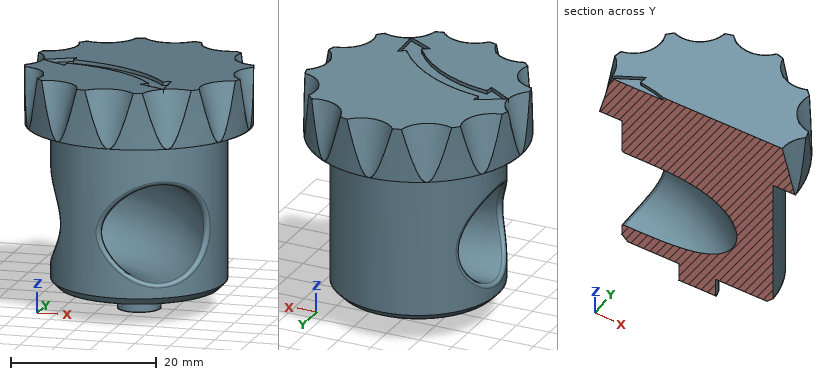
import cadquery as cq
import math

total_height = 34.2
knob_height = 8.0
pin_length = 3.2
knob_bottom = total_height - knob_height

knob_radius = 31.5 / 2
body_radius = 24.35 / 2
pin_radius = 6.0 / 2
body_chamfer = 1.0

flute_count = 12
flute_depth = 2.05
flute_top_radius = 4.45
flute_bottom_radius = flute_top_radius - flute_depth
flute_axis_radius = knob_radius + flute_bottom_radius

opening_angles = (180.0, 300.0)
passage_diameter = 14.0
passage_drop_below_knob = 13.0
passage_height = knob_bottom - passage_drop_below_knob
passage_rim_fillet = 0.5
bisector_angle = sum(opening_angles) / 2
half_spread = math.radians(opening_angles[1] - opening_angles[0]) / 2
bend_radius = body_radius * math.tan(half_spread)
bend_center_distance = body_radius / math.cos(half_spread)

arrow_depth = 0.5
arrow_band_half_width = 1.05
arrow_head_half_width = 2.25
arrow_tip_angle = 34.2
arrow_neck_angle = 23.5


def polar(radius, angle):
    """Point at a radius and an angle in degrees."""
    return (radius * math.cos(math.radians(angle)), radius * math.sin(math.radians(angle)))


def make_turned_blank():
    body_length = knob_bottom - pin_length
    pin = cq.Workplane("XY").circle(pin_radius).extrude(pin_length)
    body = (
        cq.Workplane("XY").workplane(offset=pin_length).circle(body_radius).extrude(body_length)
        .faces("<Z").chamfer(body_chamfer)
    )
    knob = cq.Workplane("XY").workplane(offset=knob_bottom).circle(knob_radius).extrude(knob_height)
    return body.union(pin).union(knob)


def cut_passage(part):
    x, y = polar(bend_center_distance, bisector_angle)
    bend = cq.Solid.makeTorus(
        bend_radius, passage_diameter / 2, cq.Vector(x, y, passage_height), cq.Vector(0, 0, 1)
    )
    part = part.cut(cq.Workplane(obj=bend))
    return part.edges("%BSPLINE").fillet(passage_rim_fillet)


def cut_flutes(part):
    for index in range(flute_count):
        x, y = polar(flute_axis_radius, index * 360 / flute_count)
        flute = cq.Solid.makeCone(
            flute_bottom_radius, flute_top_radius, knob_height, cq.Vector(x, y, knob_bottom)
        )
        part = part.cut(cq.Workplane(obj=flute))
    return part


def cut_arrow(part):
    center_x, center_y = polar(bend_center_distance, bisector_angle)
    middle_angle = bisector_angle - 180

    def at(side_offset, angle):
        x, y = polar(bend_radius + side_offset, middle_angle + angle)
        return (center_x + x, center_y + y)

    band = arrow_band_half_width
    head = arrow_head_half_width
    neck = arrow_neck_angle
    arrow = (
        cq.Workplane("XY").workplane(offset=total_height - arrow_depth)
        .moveTo(*at(band, -neck))
        .threePointArc(at(band, 0), at(band, neck))
        .lineTo(*at(head, neck))
        .lineTo(*at(0, arrow_tip_angle))
        .lineTo(*at(-head, neck))
        .lineTo(*at(-band, neck))
        .threePointArc(at(-band, 0), at(-band, -neck))
        .lineTo(*at(-head, -neck))
        .lineTo(*at(0, -arrow_tip_angle))
        .lineTo(*at(head, -neck))
        .close()
        .extrude(arrow_depth)
    )
    return part.cut(arrow)


result = cut_arrow(cut_flutes(cut_passage(make_turned_blank())))